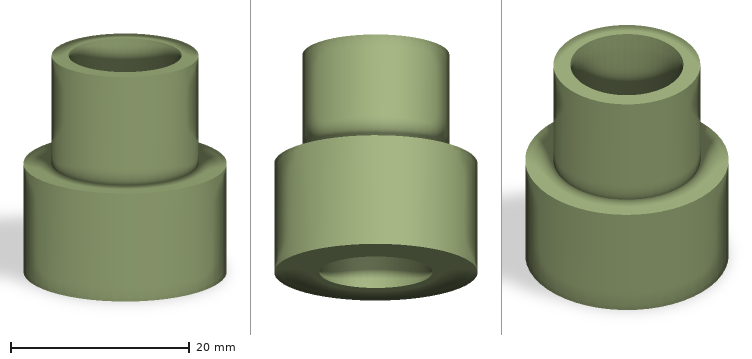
import cadquery as cq

total_height = 25.4
base_height = 12.7
base_diameter = 22.85
neck_diameter = 16.5
bore_diameter = 12.7

neck_height = total_height - base_height

base = cq.Workplane("XY").circle(base_diameter / 2).extrude(base_height)

neck = (
    cq.Workplane("XY")
    .workplane(offset=base_height)
    .circle(neck_diameter / 2)
    .extrude(neck_height)
)

bore = cq.Workplane("XY").circle(bore_diameter / 2).extrude(total_height)

result = base.union(neck).cut(bore)